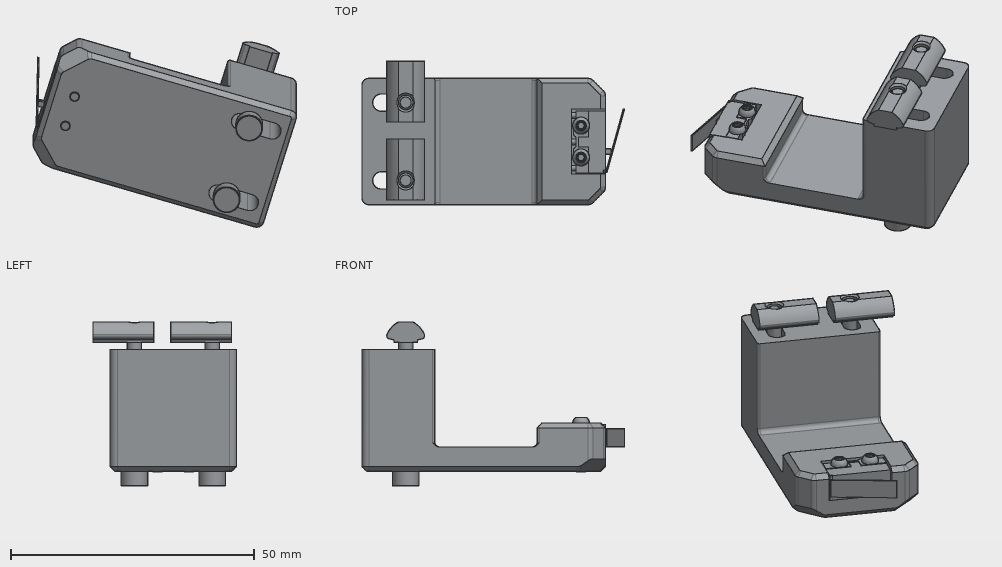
import cadquery as cq
import math

HOUSING_LENGTH = 50.0
HOUSING_WIDTH = 26.0
COLUMN_LENGTH = 15.0
COLUMN_HEIGHT = 25.0
HEAD_START = 35.95
HEAD_HEIGHT = 10.0
FLOOR_HEIGHT = 5.0
EDGE_CHAMFER = 1.0
UPRIGHT_RADIUS = 1.5
ROOT_RADIUS = 1.0
WALL_EDGE_RADIUS = 0.5
CORNER_CUT = 3.0
CORNER_CHAMFER = 2.6

BOLT_X = 9.0
BOLT_SPACING = 15.95
BOLT_DIAMETER = 3.0
BOLT_LENGTH = 30.0
BOLT_TIP_CHAMFER = 0.4
BOLT_HEAD_DIAMETER = 5.5
BOLT_HEAD_HEIGHT = 3.0
BOLT_HEAD_CHAMFER = 0.15
SLOT_WIDTH = 3.5
SLOT_START = 2.25

NUT_TOP = 30.7
NUT_HEIGHT = 4.2
NUT_LENGTH = 12.5
NUT_FRONT_OVERHANG = 4.0
NUT_HALF_WIDTH = 3.9
NUT_TOP_HALF_WIDTH = 1.45
NUT_BASE_HALF_WIDTH = 2.4
NUT_BASE_HEIGHT = 0.5
NUT_COUNTERSINK = 0.45
NUT_SHOULDER_HEIGHT = 1.55
NUT_LIP = (3.45, 0.7)
NUT_LIP_MIDDLE = (3.85, 1.1)
NUT_FLANK_MIDDLE = (2.9, 3.1)

POCKET_DEPTH = 7.0
POCKET_WIDTH = 13.3
SWITCH_DEPTH = 6.05
SWITCH_WIDTH = 12.8
SWITCH_SHIFT = -0.08
SWITCH_TOP = 9.65
SWITCH_MID_HEIGHT = 6.9
STEP_HEIGHT = 0.15
STEP_FRONT = 3.45
STEP_BACK = 5.55
TONGUE_WIDTH = 2.1
BOSS_DEPTH = 0.55
BOSS_INNER = 1.45
BOSS_OUTER = 3.25
TERMINAL_DIAMETER = 1.2
TERMINAL_SPACING = 5.4
PLUNGER_WIDTH = 1.2
PLUNGER_LENGTH = 1.2
PLUNGER_CHAMFER = 0.2
PLUNGER_Y = -2.05

LEVER_THICKNESS = 0.3
LEVER_HEIGHT = 3.8
LEVER_START_X = HOUSING_LENGTH
LEVER_END_X = 53.95
LEVER_START_Y = -6.35
LEVER_RISE = 13.05
PIVOT_DIAMETER = 0.4
PIVOT_INSET = 0.25
PIVOT_Y = -6.05

SCREW_INSET = 5.0
SCREW_SPACING = 6.5
SCREW_DIAMETER = 2.0
SCREW_TIP_DIAMETER = 1.7
SCREW_PROTRUSION = 0.15
SCREW_HEAD_DIAMETER = 3.5
SCREW_HEAD_FLAT = 2.15
SCREW_HEAD_HEIGHT = 1.3
SCREW_DOME_MIDDLE = (1.55, 0.75)
SOCKET_CORNERS = 1.4
SOCKET_COUNTERSINK = 0.15
SOCKET_DEPTH = 0.7

SELECT_MARGIN = 0.05

HALF_WIDTH = HOUSING_WIDTH / 2
BOLT_YS = [-BOLT_SPACING / 2, BOLT_SPACING / 2]
NUT_BOTTOM = NUT_TOP - NUT_HEIGHT
SCREW_X = HOUSING_LENGTH - SCREW_INSET
SCREW_YS = [-SCREW_SPACING / 2, SCREW_SPACING / 2]
PAD_TOP = SWITCH_TOP + STEP_HEIGHT
SWITCH_BOTTOM = 2 * SWITCH_MID_HEIGHT - SWITCH_TOP
SWITCH_BACK = HOUSING_LENGTH - SWITCH_DEPTH
LEVER_BOTTOM = SWITCH_MID_HEIGHT - LEVER_HEIGHT / 2
PIVOT_X = HOUSING_LENGTH - PIVOT_INSET


def block(x_min, x_max, y_min, y_max, z_min, z_max):
    """Axis-aligned box between the given limits."""
    box = cq.Workplane("XY").box(x_max - x_min, y_max - y_min, z_max - z_min, centered=False)
    return box.translate((x_min, y_min, z_min))


def cylinder(diameter, x, y, z_min, z_max):
    """Upright cylinder."""
    return cq.Workplane("XY", origin=(x, y, z_min)).circle(diameter / 2).extrude(z_max - z_min)


def countersink(hole_diameter, depth, x, y, z_top):
    """Cone that widens a hole at 45 degrees up to the given height."""
    radius = hole_diameter / 2
    return cq.Workplane(cq.Solid.makeCone(radius, radius + depth, depth, pnt=cq.Vector(x, y, z_top - depth)))


def bevelled_corner_cutter(side):
    """Material removed at one +X corner: an upright bevel with a wide chamfer under it."""
    bevel = cq.Plane(
        origin=(HOUSING_LENGTH - CORNER_CUT / 2, side * (HALF_WIDTH - CORNER_CUT / 2), 0),
        xDir=(1, side, 0),
        normal=(side, -1, 0),
    )
    reach = 2 * CORNER_CUT
    section = [
        (-2 * CORNER_CHAMFER, -CORNER_CHAMFER),
        (0, CORNER_CHAMFER),
        (0, COLUMN_HEIGHT),
        (reach, COLUMN_HEIGHT),
        (reach, -CORNER_CHAMFER),
    ]
    return cq.Workplane(bevel).polyline(section).close().extrude(HOUSING_WIDTH / 2, both=True)


def outer_block():
    """Full-height block with its lower chamfer, bevelled corners and rounded uprights."""
    body = block(0, HOUSING_LENGTH, -HALF_WIDTH, HALF_WIDTH, 0, COLUMN_HEIGHT)
    body = body.edges("|Z and <X").fillet(UPRIGHT_RADIUS)
    body = body.faces("<Z").chamfer(EDGE_CHAMFER)
    for side in (-1, 1):
        body = body.cut(bevelled_corner_cutter(side))
    corner_region = cq.selectors.BoxSelector(
        (HOUSING_LENGTH - 2 * CORNER_CUT, -HOUSING_WIDTH, CORNER_CHAMFER),
        (HOUSING_LENGTH + SELECT_MARGIN, HOUSING_WIDTH, COLUMN_HEIGHT),
    )
    body = body.edges(corner_region).edges("|Z").fillet(UPRIGHT_RADIUS)
    lower_region = cq.selectors.BoxSelector(
        (HOUSING_LENGTH - 3 * CORNER_CUT, -HOUSING_WIDTH, SELECT_MARGIN),
        (HOUSING_LENGTH + SELECT_MARGIN, HOUSING_WIDTH, EDGE_CHAMFER - SELECT_MARGIN),
    )
    return body.edges(lower_region).edges("not #Z").fillet(UPRIGHT_RADIUS)


def saddle_cutter():
    """Space above the saddle floor and the head block, with rounded roots at the saddle walls."""
    above_head = block(HEAD_START, HOUSING_LENGTH, -HALF_WIDTH, HALF_WIDTH, HEAD_HEIGHT, COLUMN_HEIGHT)
    saddle = block(COLUMN_LENGTH, HEAD_START, -HALF_WIDTH, HALF_WIDTH, FLOOR_HEIGHT, COLUMN_HEIGHT)
    saddle = saddle.edges("|Y and <Z").fillet(ROOT_RADIUS)
    return saddle.union(above_head)


def wall_edge_cutter(wall_x, into_saddle, side, top):
    """Material removed to round one upright wall edge and carry the root fillet around it."""
    axis_x = wall_x - into_saddle * WALL_EDGE_RADIUS
    axis_y = side * (HALF_WIDTH - WALL_EDGE_RADIUS)
    foot_radius = WALL_EDGE_RADIUS + ROOT_RADIUS
    height = top - FLOOR_HEIGHT
    sag = ROOT_RADIUS * (1 - math.sqrt(0.5))
    corner = block(
        min(axis_x, axis_x + into_saddle * foot_radius),
        max(axis_x, axis_x + into_saddle * foot_radius),
        min(axis_y, axis_y + side * foot_radius),
        max(axis_y, axis_y + side * foot_radius),
        FLOOR_HEIGHT,
        top,
    )
    flared_post = (
        cq.Workplane("XZ", origin=(axis_x, axis_y, FLOOR_HEIGHT))
        .lineTo(foot_radius, 0)
        .threePointArc((WALL_EDGE_RADIUS + sag, sag), (WALL_EDGE_RADIUS, ROOT_RADIUS))
        .lineTo(WALL_EDGE_RADIUS, height)
        .lineTo(0, height)
        .close()
        .revolve(360, (0, 0, 0), (0, 1, 0))
    )
    return corner.cut(flared_post)


def bolt_slot(y):
    """Upright through slot in the column for one clamping bolt."""
    length = COLUMN_LENGTH - 2 * SLOT_START
    slot = cq.Workplane("XY", origin=(COLUMN_LENGTH / 2, y, 0)).slot2D(length, SLOT_WIDTH)
    return slot.extrude(COLUMN_HEIGHT)


def make_housing():
    """Column, saddle and head block, with bolt slots, switch pocket and screw holes."""
    body = outer_block().cut(saddle_cutter())
    head_top = cq.selectors.BoxSelector(
        (HEAD_START, -HALF_WIDTH, HEAD_HEIGHT - SELECT_MARGIN),
        (HOUSING_LENGTH, HALF_WIDTH, HEAD_HEIGHT + SELECT_MARGIN),
    )
    body = body.faces(head_top).chamfer(EDGE_CHAMFER)
    for side in (-1, 1):
        body = body.cut(wall_edge_cutter(COLUMN_LENGTH, 1, side, COLUMN_HEIGHT))
        body = body.cut(wall_edge_cutter(HEAD_START, -1, side, HEAD_HEIGHT - EDGE_CHAMFER))
    for y in BOLT_YS:
        body = body.cut(bolt_slot(y))
    pocket = block(
        HOUSING_LENGTH - POCKET_DEPTH,
        HOUSING_LENGTH,
        -POCKET_WIDTH / 2,
        POCKET_WIDTH / 2,
        SWITCH_BOTTOM,
        HEAD_HEIGHT,
    )
    body = body.cut(pocket)
    for y in SCREW_YS:
        body = body.cut(cylinder(SCREW_DIAMETER, SCREW_X, y, 0, HEAD_HEIGHT))
    return body


def make_bolt(y):
    """Cap screw standing upright through the column, its head under the housing."""
    shank = cylinder(BOLT_DIAMETER, BOLT_X, y, 0, BOLT_LENGTH)
    shank = shank.faces(">Z").chamfer(BOLT_TIP_CHAMFER)
    head = cylinder(BOLT_HEAD_DIAMETER, BOLT_X, y, -BOLT_HEAD_HEIGHT, 0)
    head = head.faces("<Z").chamfer(BOLT_HEAD_CHAMFER)
    return shank.union(head)


def make_nut(y):
    """T-nut bar along Y with a crowned top, stepped base and countersunk bolt hole."""
    bar = (
        cq.Workplane("XZ", origin=(BOLT_X, y - NUT_FRONT_OVERHANG, NUT_BOTTOM))
        .moveTo(0, 0)
        .lineTo(NUT_BASE_HALF_WIDTH, 0)
        .lineTo(NUT_BASE_HALF_WIDTH, NUT_BASE_HEIGHT)
        .lineTo(*NUT_LIP)
        .threePointArc(NUT_LIP_MIDDLE, (NUT_HALF_WIDTH, NUT_SHOULDER_HEIGHT))
        .threePointArc(NUT_FLANK_MIDDLE, (NUT_TOP_HALF_WIDTH, NUT_HEIGHT))
        .lineTo(0, NUT_HEIGHT)
        .mirrorY()
        .extrude(-NUT_LENGTH)
    )
    hole = cylinder(BOLT_DIAMETER, BOLT_X, y, NUT_BOTTOM, NUT_TOP)
    mouth = countersink(BOLT_DIAMETER, NUT_COUNTERSINK, BOLT_X, y, NUT_TOP)
    return bar.cut(hole).cut(mouth)


def mounting_boss(side):
    """Raised part of the switch back beside one screw, with a 45 degree inner flank."""
    outline = [
        (0, side * (BOSS_INNER - BOSS_DEPTH)),
        (-BOSS_DEPTH, side * BOSS_INNER),
        (-BOSS_DEPTH, side * BOSS_OUTER),
        (0, side * BOSS_OUTER),
    ]
    base = cq.Workplane("XY", origin=(SWITCH_BACK, SWITCH_SHIFT, SWITCH_BOTTOM))
    return base.polyline(outline).close().extrude(PAD_TOP - SWITCH_BOTTOM)


def switch_case():
    """Switch case: mounting pads slightly above the main top face, and two back bosses."""
    y_min = SWITCH_SHIFT - SWITCH_WIDTH / 2
    y_max = SWITCH_SHIFT + SWITCH_WIDTH / 2
    case = block(SWITCH_BACK, HOUSING_LENGTH, y_min, y_max, SWITCH_BOTTOM, PAD_TOP)
    for side in (-1, 1):
        case = case.union(mounting_boss(side))
    front = block(HOUSING_LENGTH - STEP_FRONT, HOUSING_LENGTH, y_min, y_max, SWITCH_TOP, PAD_TOP)
    tongue = block(
        HOUSING_LENGTH - STEP_BACK,
        HOUSING_LENGTH,
        SWITCH_SHIFT - TONGUE_WIDTH / 2,
        SWITCH_SHIFT + TONGUE_WIDTH / 2,
        SWITCH_TOP,
        PAD_TOP,
    )
    return case.cut(front).cut(tongue)


def terminal(y):
    """Round terminal reaching from the switch back to the pocket wall."""
    start = cq.Workplane("YZ", origin=(HOUSING_LENGTH - POCKET_DEPTH, y, SWITCH_MID_HEIGHT))
    return start.circle(TERMINAL_DIAMETER / 2).extrude(POCKET_DEPTH - SWITCH_DEPTH)


def plunger():
    """Square button on the switch face, under the lever, with its tip bevelled."""
    start = cq.Workplane("YZ", origin=(HOUSING_LENGTH, PLUNGER_Y, SWITCH_MID_HEIGHT))
    button = start.rect(PLUNGER_WIDTH, PLUNGER_WIDTH).extrude(PLUNGER_LENGTH)
    return button.edges("|Z and >X").chamfer(PLUNGER_CHAMFER)


def make_switch(lever):
    """Micro switch with terminals, plunger, screw holes and a recess fitting the lever's pivot."""
    switch = switch_case().union(plunger())
    for index in (-1, 0, 1):
        switch = switch.union(terminal(SWITCH_SHIFT + index * TERMINAL_SPACING))
    for y in SCREW_YS:
        switch = switch.cut(cylinder(SCREW_DIAMETER, SCREW_X, y, SWITCH_BOTTOM, PAD_TOP))
    return switch.cut(lever)


def make_lever():
    """Thin slanted blade joined by a short neck to a round pivot set in the switch."""
    run = LEVER_END_X - LEVER_START_X - LEVER_THICKNESS
    across = LEVER_THICKNESS * math.hypot(run, LEVER_RISE) / LEVER_RISE
    outline = [
        (LEVER_START_X, LEVER_START_Y),
        (LEVER_START_X + across, LEVER_START_Y),
        (LEVER_END_X, LEVER_START_Y + LEVER_RISE),
        (LEVER_END_X - across, LEVER_START_Y + LEVER_RISE),
    ]
    base = cq.Workplane("XY", origin=(0, 0, LEVER_BOTTOM))
    blade = base.polyline(outline).close().extrude(LEVER_HEIGHT)
    pivot = cylinder(PIVOT_DIAMETER, PIVOT_X, PIVOT_Y, LEVER_BOTTOM, SWITCH_TOP)
    neck = block(
        PIVOT_X,
        LEVER_START_X + across,
        PIVOT_Y - LEVER_THICKNESS / 2,
        PIVOT_Y + LEVER_THICKNESS / 2,
        LEVER_BOTTOM,
        LEVER_BOTTOM + LEVER_HEIGHT,
    )
    return blade.union(neck).union(pivot)


def make_screw(y):
    """Button-head screw through the switch and the housing, with a hexagon socket."""
    shank = cylinder(SCREW_DIAMETER, SCREW_X, y, -SCREW_PROTRUSION, PAD_TOP)
    shank = shank.faces("<Z").chamfer((SCREW_DIAMETER - SCREW_TIP_DIAMETER) / 2)
    rim = SCREW_HEAD_DIAMETER / 2
    flat = SCREW_HEAD_FLAT / 2
    head = (
        cq.Workplane("XZ", origin=(SCREW_X, y, PAD_TOP))
        .lineTo(rim, 0)
        .threePointArc(SCREW_DOME_MIDDLE, (flat, SCREW_HEAD_HEIGHT))
        .lineTo(0, SCREW_HEAD_HEIGHT)
        .close()
        .revolve(360, (0, 0, 0), (0, 1, 0))
    )
    top = PAD_TOP + SCREW_HEAD_HEIGHT
    socket = cq.Workplane("XY", origin=(SCREW_X, y, top)).polygon(6, SOCKET_CORNERS).extrude(-SOCKET_DEPTH)
    mouth = countersink(SOCKET_CORNERS, SOCKET_COUNTERSINK, SCREW_X, y, top)
    return shank.union(head).cut(socket).cut(mouth)


housing = make_housing()
bolts = [make_bolt(y) for y in BOLT_YS]
nuts = [make_nut(y) for y in BOLT_YS]
lever = make_lever()
switch = make_switch(lever)
screws = [make_screw(y) for y in SCREW_YS]

result = cq.Compound.makeCompound(
    [
        housing.val(),
        *[bolt.val() for bolt in bolts],
        *[nut.val() for nut in nuts],
        switch.val(),
        lever.val(),
        *[screw.val() for screw in screws],
    ]
)